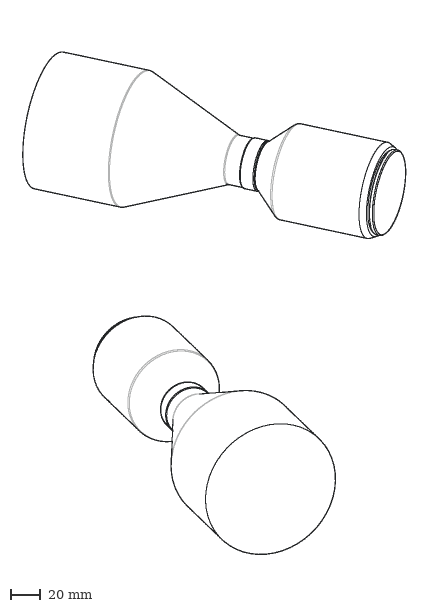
import cadquery as cq

head_end = 62.5
neck_start = 133.7
collar_start = 144.8
collar_end = 155.4
neck_end = 156.0
barrel_start = 174.0
barrel_end = 237.7
taper_end = 242.2
lip_start = 243.6
total_length = 246.5

head_radius = 46.98
neck_radius = 17.0
collar_radius = 17.5
barrel_radius = 33.0
taper_end_radius = 30.8
groove_radius = 28.4
lip_radius = 29.3

lip_chamfer = 0.7
collar_bevel_length = 0.7
blend_radius = 2.0

pick_margin = 0.2


def make_body():
    """Revolve the stepped half profile about the X axis."""
    profile = [
        (0, 0),
        (0, head_radius),
        (head_end, head_radius),
        (neck_start, neck_radius),
        (collar_start, neck_radius),
        (collar_start + collar_bevel_length, collar_radius),
        (collar_end - collar_bevel_length, collar_radius),
        (collar_end, neck_radius),
        (neck_end, neck_radius),
        (barrel_start, barrel_radius),
        (barrel_end, barrel_radius),
        (taper_end, taper_end_radius),
        (taper_end, groove_radius),
        (lip_start, groove_radius),
        (lip_start, lip_radius),
        (total_length - lip_chamfer, lip_radius),
        (total_length, lip_radius - lip_chamfer),
        (total_length, 0),
    ]
    return cq.Workplane("XZ").polyline(profile).close().revolve(360, (0, 0, 0), (1, 0, 0))


def round_edge(body, station):
    """Round the circular edge where a cone meets a cylinder at the given station."""
    at_station = cq.selectors.BoxSelector(
        (station - pick_margin, -head_radius - pick_margin, -head_radius - pick_margin),
        (station + pick_margin, head_radius + pick_margin, head_radius + pick_margin),
        boundingbox=True,
    )
    return body.edges(at_station).fillet(blend_radius)


result = make_body()
for cone_edge in (head_end, neck_start, barrel_start):
    result = round_edge(result, cone_edge)